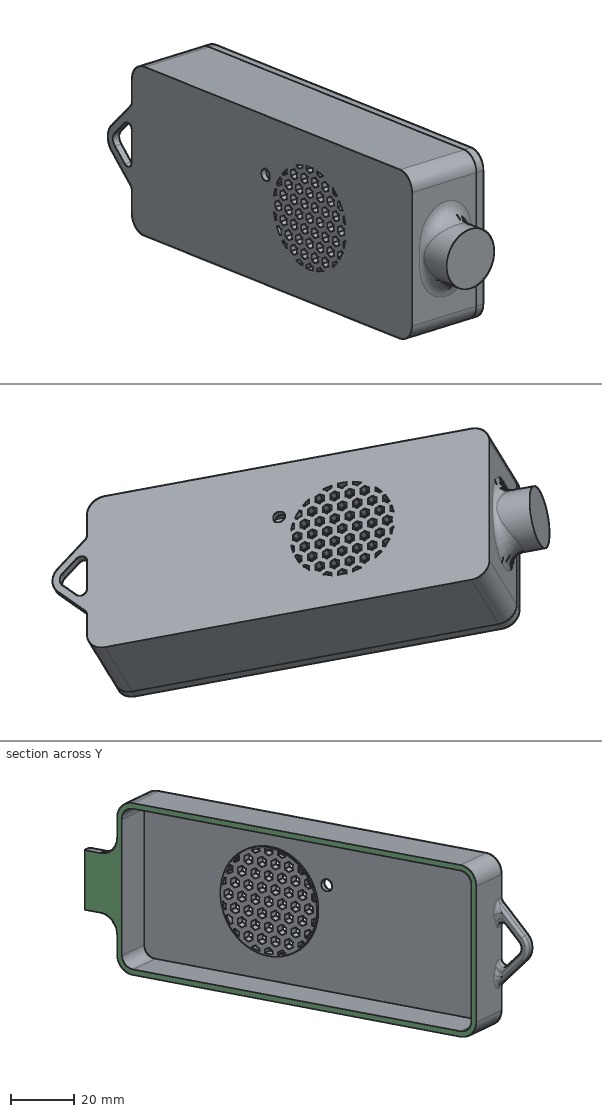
import cadquery as cq
import math

case_length = 134.0
case_depth = 30.0
case_height = 57.0
corner_radius = 6.0
lid_thickness = 3.0
wall = 2.0
housing_depth = case_depth - lid_thickness

nozzle_diameter = 20.0
nozzle_length = 12.0
nozzle_y = 14.0
nozzle_root_z_radius = 6.0
nozzle_root_side_radius = 1.0

lug_reach = 11.49
lug_thickness = 3.0
lug_tip_radius = 6.0
lug_edge_radius = 1.0
lug_hole_edge_radius = 0.5
lug_root_radius = 2.0
lug_hole_reach = 9.0
lug_hole_tip_radius = 3.0

grille_x = 85.0
grille_z = -0.2
grille_diameter = 34.5
grille_thickness = 3.0
grille_pad_diameter = 36.0
hex_across_flats = 3.0
hex_pitch = 5.0
hex_row_pitch = 4.25
hex_across_corners = hex_across_flats / math.cos(math.radians(30))

indicator_x = grille_x - 21.0
indicator_z = 8.5
indicator_diameter = 4.0

TOLERANCE = 0.01


def plane_at(y):
    """Sketch plane square to Y; a negative extrusion from it goes towards +Y."""
    return cq.Workplane(cq.Plane((0, y, 0), (1, 0, 0), (0, -1, 0)))


def rounded_block(y_start, depth, inset=0.0):
    """Block with the case outline, moved in by the inset, from y_start towards +Y."""
    return (
        plane_at(y_start)
        .center(case_length / 2, 0)
        .rect(case_length - 2 * inset, case_height - 2 * inset)
        .extrude(-depth)
        .edges("|Y")
        .fillet(corner_radius - inset)
    )


def sharp_reach(reach, tip_radius):
    """Reach that a 45 degree tip has before it is rounded; also half the height of its base."""
    return reach + tip_radius * (math.sqrt(2) - 1)


def triangle(reach, tip_radius):
    """Plate on the -X wall with 45 degree sides and a rounded tip that ends at the given reach."""
    side = sharp_reach(reach, tip_radius)
    return (
        plane_at(0)
        .polyline([(0, side), (-side, 0), (0, -side)])
        .close()
        .extrude(-lug_thickness)
        .edges("|Y and <X")
        .fillet(tip_radius)
    )


def make_grille():
    """Hexagonal prisms through the wall and its pad, each with two flats facing along X."""
    span = math.ceil(grille_diameter / hex_pitch)
    centers = []
    for row in range(-span, span + 1):
        for column in range(-span, span + 1):
            x = (column + (row % 2) / 2) * hex_pitch
            z = row * hex_row_pitch
            if math.hypot(x, z) < (grille_diameter + hex_across_corners) / 2:
                centers.append((x, z))
    hexagon = cq.Sketch().regularPolygon(hex_across_corners / 2, 6)
    grille_face = plane_at(0).center(grille_x, grille_z)
    prisms = grille_face.pushPoints(centers).placeSketch(hexagon).extrude(-grille_thickness)
    disc = plane_at(0).center(grille_x, grille_z).circle(grille_diameter / 2).extrude(-grille_thickness)
    return prisms.intersect(disc)


def make_lug():
    """Lug with its hole, all its +Y edges rounded except where it meets the case."""
    outer = triangle(lug_reach, lug_tip_radius)
    outer = outer.faces(">Y").edges("not >X").fillet(lug_edge_radius)
    lug = outer.cut(triangle(lug_hole_reach, lug_hole_tip_radius))
    hole_half_height = sharp_reach(lug_hole_reach, lug_hole_tip_radius)
    hole_box = cq.selectors.BoxSelector(
        (-lug_hole_reach - TOLERANCE, lug_thickness - TOLERANCE, -hole_half_height - TOLERANCE),
        (TOLERANCE, lug_thickness + TOLERANCE, hole_half_height + TOLERANCE),
        boundingbox=True,
    )
    return lug.edges(hole_box).fillet(lug_hole_edge_radius)


def add_nozzle(body):
    """Join the nozzle to the +X wall with a root fillet that is large at +Z and -Z, small at the sides."""
    radius = nozzle_diameter / 2
    nozzle = (
        cq.Workplane("YZ", origin=(case_length, nozzle_y, 0))
        .circle(radius)
        .extrude(nozzle_length)
    )
    joined = body.union(nozzle)
    root_box = cq.selectors.BoxSelector(
        (case_length - TOLERANCE, nozzle_y - radius - TOLERANCE, -radius - TOLERANCE),
        (case_length + TOLERANCE, nozzle_y + radius + TOLERANCE, radius + TOLERANCE),
        boundingbox=True,
    )
    root_edge = joined.edges(root_box).val()

    kernel = cq.occ_impl.shapes
    quarter_radii = [nozzle_root_side_radius, nozzle_root_z_radius] * 2 + [nozzle_root_side_radius]
    radius_law = kernel.TColgp_HArray1OfPnt2d(1, len(quarter_radii))
    for quarter, root_radius in enumerate(quarter_radii):
        radius_law.SetValue(quarter + 1, kernel.gp_Pnt2d(quarter / 4, root_radius))
    blend = kernel.BRepFilletAPI_MakeFillet(joined.val().wrapped)
    blend.Add(radius_law, root_edge.wrapped)
    return cq.Workplane(cq.Shape.cast(blend.Shape()).Solids()[0])


def add_lug(body):
    """Join the lug to the -X wall and fillet the roots of its two legs."""
    joined = body.union(make_lug())
    hole_half_height = sharp_reach(lug_hole_reach, lug_hole_tip_radius)
    lug_half_height = sharp_reach(lug_reach, lug_tip_radius)
    for bottom, top in ((hole_half_height, lug_half_height), (-lug_half_height, -hole_half_height)):
        root_box = cq.selectors.BoxSelector(
            (-TOLERANCE, -TOLERANCE, bottom - TOLERANCE),
            (TOLERANCE, lug_thickness + TOLERANCE, top + TOLERANCE),
            boundingbox=True,
        )
        joined = joined.edges(root_box).fillet(lug_root_radius)
    return joined


def make_housing():
    """Hollow case, open at +Y, with its nozzle, lug, grille and indicator hole."""
    housing = add_lug(add_nozzle(rounded_block(0, housing_depth)))
    cavity = rounded_block(wall, housing_depth - wall, wall)
    indicator_hole = (
        plane_at(0)
        .center(indicator_x, indicator_z)
        .circle(indicator_diameter / 2)
        .extrude(-wall)
    )
    pad = (
        plane_at(wall)
        .center(grille_x, grille_z)
        .circle(grille_pad_diameter / 2)
        .extrude(wall - grille_thickness)
    )
    return housing.cut(cavity).union(pad).cut(make_grille()).cut(indicator_hole)


housing = make_housing()
lid = rounded_block(housing_depth, lid_thickness)
result = cq.Compound.makeCompound([housing.val(), lid.val()])